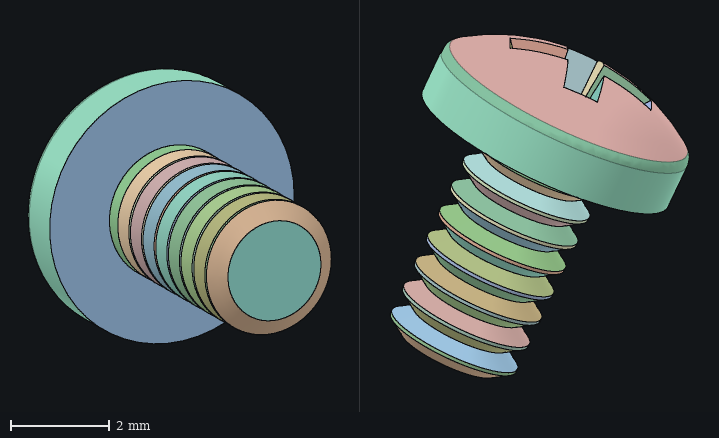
import cadquery as cq
import math

length = 6.77
head_diameter = 5.56
head_radius = head_diameter / 2
head_base = 2.005
crown_radius = 4.49
crown_apex = -0.0365
rim_fillet = 0.26

crest_radius = 1.42
root_radius = 1.055
pitch = 0.59
crest_width = 0.075
ridge_count = 7

slot_length = 3.575
slot_width = 0.805
floor_width = 0.4
floor_depth = 2.045
overcut = 0.07


def make_head():
    """Domed disc with a rounded rim."""
    crown_center = crown_apex + crown_radius
    dome_edge = crown_center - math.sqrt(crown_radius**2 - head_radius**2)
    mid_radius = head_radius / 2
    dome_mid = crown_center - math.sqrt(crown_radius**2 - mid_radius**2)
    head = (
        cq.Workplane("XY")
        .moveTo(crown_apex, 0)
        .threePointArc((dome_mid, mid_radius), (dome_edge, head_radius))
        .lineTo(head_base, head_radius)
        .lineTo(head_base, 0)
        .close()
        .revolve(360, (0, 0, 0), (1, 0, 0))
    )
    return head.faces("%CYLINDER").edges("<X").fillet(rim_fillet)


def make_shank():
    """Plain collar followed by equally spaced V-shaped ridges."""
    flank = (pitch - crest_width) / 2
    first_root = length - ridge_count * pitch
    points = [
        (head_base, 0),
        (head_base, crest_radius),
        (first_root - flank, crest_radius),
        (first_root, root_radius),
    ]
    for ridge in range(ridge_count):
        root = first_root + ridge * pitch
        points.append((root + flank, crest_radius))
        points.append((root + flank + crest_width, crest_radius))
        points.append((root + pitch, root_radius))
    points.append((length, 0))
    return cq.Workplane("XY").polyline(points).close().revolve(360, (0, 0, 0), (1, 0, 0))


def make_slot(size_y, size_z):
    """Tapered slot whose mouth measures size_y by size_z at X = 0."""
    extension = overcut / floor_depth
    mouth_y = size_y + (size_y - floor_width) * extension
    mouth_z = size_z + (size_z - floor_width) * extension
    return (
        cq.Workplane("YZ", origin=(-overcut, 0, 0))
        .rect(mouth_y, mouth_z)
        .workplane(offset=floor_depth + overcut)
        .rect(floor_width, floor_width)
        .loft(ruled=True)
    )


result = (
    make_head()
    .union(make_shank())
    .cut(make_slot(slot_length, slot_width))
    .cut(make_slot(slot_width, slot_length))
)